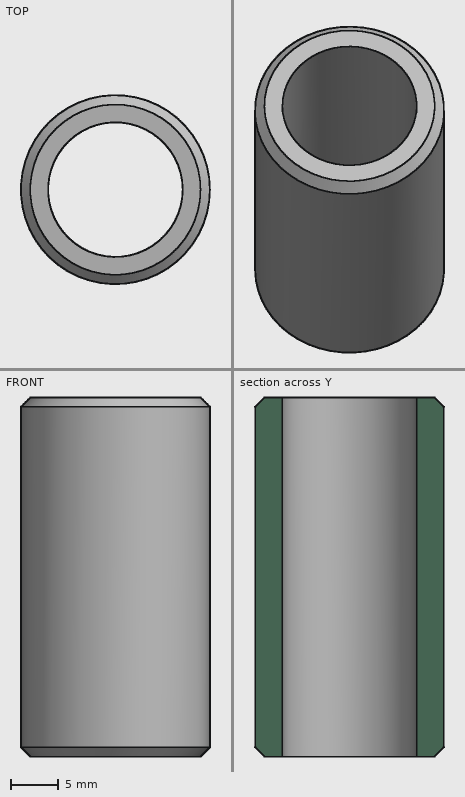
import cadquery as cq

outer_diameter = 20.0
bore_diameter = 14.2
length = 38.0
chamfer_size = 1.0

sleeve = cq.Workplane("XY").circle(outer_diameter / 2).extrude(length)

sleeve = sleeve.faces("<Z or >Z").edges().chamfer(chamfer_size)

bore = cq.Workplane("XY").circle(bore_diameter / 2).extrude(length)

result = sleeve.cut(bore)